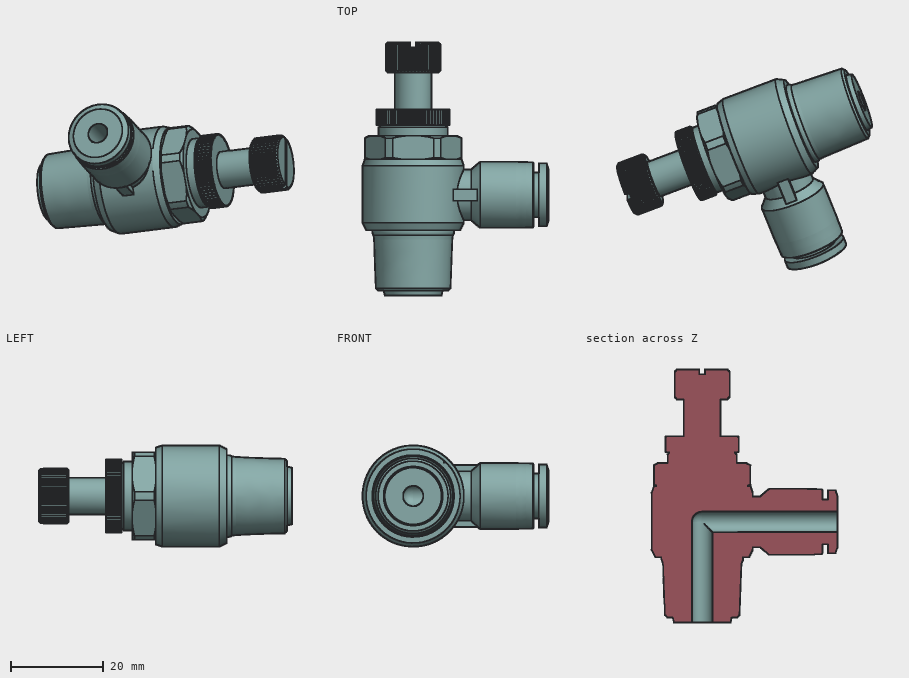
import cadquery as cq
import math


overall_length = 54.9
overall_width = 40.35

nose_end_y = -21.85
thread_end_y = -20.75
thread_start_y = -9.65
collar_end_y = -8.8
body_bottom_y = -7.7
body_top_y = 7.75
hex_top_y = 12.8
nut_bottom_y = 15.05
nut_top_y = 18.55
knob_bottom_y = 26.5
knob_top_y = nose_end_y + overall_length

nose_radius = 6.4
nose_taper = 0.3
thread_start_radius = 8.5
thread_end_radius = 8.1
thread_chamfer = 0.55
collar_radius = 8.9
collar_neck_radius = 8.6
collar_land = 0.35

body_diameter = 22.0
body_radius = body_diameter / 2
body_bottom_chamfer_radial = 0.8
body_bottom_chamfer_axial = 1.65
body_top_chamfer_radial = 0.5
body_top_chamfer_axial = 1.5

hex_across_flats = 19.0
hex_corner_radius = 10.5
hex_top_chamfer_radial = 0.9
hex_top_chamfer_axial = 0.5
hex_bottom_chamfer_radial = 0.65
hex_bottom_chamfer_axial = 0.35

neck_radius = 7.5
neck_chamfer = 0.45
stem_radius = 4.0
nut_radius = 7.95
nut_teeth = 60
nut_chamfer = 0.15
knob_radius = 6.0
knob_teeth = 48
knob_chamfer = 0.5
tooth_depth = 0.3
tooth_land_fraction = 0.3
slot_width = 1.2
slot_depth = 1.05

port_neck_radius = 5.55
port_neck_end_x = 12.55
port_cone_end_x = 14.5
port_radius = 7.2
port_straight_end_x = 22.3
port_taper_x = 24.45
port_taper_radius = 7.15
port_end_x = 26.15
port_end_radius = 7.1
port_end_chamfer_axial = 0.15
port_end_chamfer_radial = 0.35
groove_radius = 4.9
flange_start_x = 27.25
flange_radius = 6.85
flange_bevel_x = 28.95
flange_face_x = overall_width - body_radius
flange_face_radius = 5.6

rib_width = 2.45
rib_height = 13.5
rib_end_x = 13.9

passage_radius = 2.2


def turned_about_y(points):
    """Revolve (radius, y) points about the body axis."""
    return cq.Workplane("XY").polyline(points).close().revolve(360, (0, 0), (0, 1))


def disc(radius, bottom_y, top_y):
    return turned_about_y([(0, bottom_y), (radius, bottom_y), (radius, top_y), (0, top_y)])


def chamfered_disc(radius, bottom_y, top_y, bottom_chamfer, top_chamfer):
    """Disc on the body axis; each chamfer is a (radial, axial) pair."""
    bottom_radial, bottom_axial = bottom_chamfer
    top_radial, top_axial = top_chamfer
    return turned_about_y([
        (0, bottom_y),
        (radius - bottom_radial, bottom_y),
        (radius, bottom_y + bottom_axial),
        (radius, top_y - top_axial),
        (radius - top_radial, top_y),
        (0, top_y),
    ])


def prism_plane(bottom_y):
    """Sketch plane across the body axis that extrudes toward +Y."""
    return cq.Workplane(cq.Plane((0, bottom_y, 0), xDir=(1, 0, 0), normal=(0, 1, 0)))


def polar_point(radius, angle):
    return (radius * math.cos(angle), radius * math.sin(angle))


def knurled_disc(radius, teeth, bottom_y, top_y, chamfer):
    """Disc with V grooves parallel to the body axis and narrow lands between them."""
    pitch_angle = 2 * math.pi / teeth
    land_half_angle = tooth_land_fraction * pitch_angle / 2
    outline = []
    for index in range(teeth):
        land_angle = index * pitch_angle
        outline.append(polar_point(radius, land_angle - land_half_angle))
        outline.append(polar_point(radius, land_angle + land_half_angle))
        outline.append(polar_point(radius - tooth_depth, land_angle + pitch_angle / 2))
    toothed = prism_plane(bottom_y).polyline(outline).close().extrude(top_y - bottom_y)
    envelope = chamfered_disc(radius, bottom_y, top_y, (chamfer, chamfer), (chamfer, chamfer))
    return toothed.intersect(envelope)


def threaded_end():
    """Stepped nose, tapered thread surface and rounded collar below the body."""
    return (
        cq.Workplane("XY")
        .moveTo(0, body_bottom_y)
        .lineTo(collar_radius, body_bottom_y)
        .lineTo(collar_radius, body_bottom_y - collar_land)
        .tangentArcPoint((collar_neck_radius, collar_end_y), relative=False)
        .lineTo(thread_start_radius, thread_start_y)
        .lineTo(thread_end_radius, thread_end_y + thread_chamfer)
        .lineTo(thread_end_radius - thread_chamfer, thread_end_y)
        .lineTo(nose_radius, thread_end_y)
        .lineTo(nose_radius - nose_taper, nose_end_y)
        .lineTo(0, nose_end_y)
        .close()
        .revolve(360, (0, 0), (0, 1))
    )


def body():
    return chamfered_disc(
        body_radius, body_bottom_y, body_top_y,
        (body_bottom_chamfer_radial, body_bottom_chamfer_axial),
        (body_top_chamfer_radial, body_top_chamfer_axial),
    )


def hexagon():
    """Hexagon with two flats facing up and down, its corners turned round and chamfered."""
    corner_diameter = hex_across_flats / math.cos(math.pi / 6)
    prism = prism_plane(body_top_y).polygon(6, corner_diameter).extrude(hex_top_y - body_top_y)
    envelope = chamfered_disc(
        hex_corner_radius, body_top_y, hex_top_y,
        (hex_bottom_chamfer_radial, hex_bottom_chamfer_axial),
        (hex_top_chamfer_radial, hex_top_chamfer_axial),
    )
    return prism.intersect(envelope)


def neck():
    return turned_about_y([
        (0, hex_top_y),
        (neck_radius, hex_top_y),
        (neck_radius, nut_bottom_y - neck_chamfer),
        (neck_radius - neck_chamfer, nut_bottom_y),
        (0, nut_bottom_y),
    ])


def knob():
    """Knurled knob with a screwdriver slot across its end."""
    head = knurled_disc(knob_radius, knob_teeth, knob_bottom_y, knob_top_y, knob_chamfer)
    slot = (
        cq.Workplane("XY")
        .box(slot_width, 2 * slot_depth, 2 * knob_radius)
        .translate((0, knob_top_y, 0))
    )
    return head.cut(slot)


def tube_port():
    """Push-in port: neck, flared sleeve, release-collar groove and flange."""
    points = [
        (0, 0),
        (0, port_neck_radius),
        (port_neck_end_x, port_neck_radius),
        (port_cone_end_x, port_radius),
        (port_straight_end_x, port_radius),
        (port_taper_x, port_taper_radius),
        (port_end_x - port_end_chamfer_axial, port_end_radius),
        (port_end_x, port_end_radius - port_end_chamfer_radial),
        (port_end_x, groove_radius),
        (flange_start_x, groove_radius),
        (flange_start_x, flange_radius),
        (flange_bevel_x, flange_radius),
        (flange_face_x, flange_face_radius),
        (flange_face_x, 0),
    ]
    return cq.Workplane("XY").polyline(points).close().revolve(360, (0, 0), (1, 0))


def ribs():
    """One bar that stands out as a rib above and below the port neck."""
    return cq.Workplane("XY").box(rib_end_x, rib_width, rib_height).translate((rib_end_x / 2, 0, 0))


def flow_passage():
    """Bore from the nose that turns through a ball-shaped elbow and leaves by the port."""
    inlet = disc(passage_radius, nose_end_y, 0)
    elbow = cq.Workplane("XY").sphere(passage_radius)
    outlet = cq.Workplane("YZ").circle(passage_radius).extrude(flange_face_x)
    return inlet.union(elbow).union(outlet)


result = (
    threaded_end()
    .union(body())
    .union(hexagon())
    .union(neck())
    .union(knurled_disc(nut_radius, nut_teeth, nut_bottom_y, nut_top_y, nut_chamfer))
    .union(disc(stem_radius, nut_top_y, knob_bottom_y))
    .union(knob())
    .union(tube_port())
    .union(ribs())
    .cut(flow_passage())
)